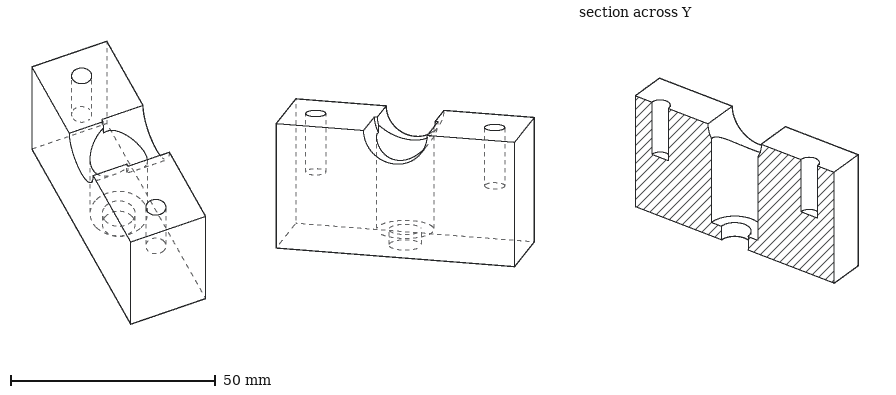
import cadquery as cq

LENGTH = 60.0
WIDTH = 20.0
HEIGHT = 32.0

FRONT_GROOVE_DIAMETER = 14.5
REAR_GROOVE_DIAMETER = 16
FRONT_GROOVE_LENGTH = 9.0

BORE_DIAMETER = 8.0
COUNTERBORE_DIAMETER = 14.0
COUNTERBORE_DEPTH = 28

SIDE_HOLE_DIAMETER = 4.92
SIDE_HOLE_DEPTH = 15.0
SIDE_HOLE_SPACING = 45.0


def groove(diameter, y_start, length):
    """Cylinder along +Y whose axis lies on the top face."""
    return cq.Workplane(
        cq.Solid.makeCylinder(
            diameter / 2, length, cq.Vector(0, y_start, HEIGHT), cq.Vector(0, 1, 0)
        )
    )


def hole_from_top(diameter, depth, x_position):
    """Vertical cylinder reaching down from the top face."""
    return cq.Workplane(
        cq.Solid.makeCylinder(diameter / 2, depth, cq.Vector(x_position, 0, HEIGHT - depth))
    )


result = cq.Workplane("XY").box(LENGTH, WIDTH, HEIGHT, centered=(True, True, False))

front_face_y = -WIDTH / 2
step_y = front_face_y + FRONT_GROOVE_LENGTH
result = result.cut(groove(FRONT_GROOVE_DIAMETER, front_face_y, FRONT_GROOVE_LENGTH))
result = result.cut(groove(REAR_GROOVE_DIAMETER, step_y, WIDTH - FRONT_GROOVE_LENGTH))

result = result.cut(hole_from_top(BORE_DIAMETER, HEIGHT, 0))
result = result.cut(hole_from_top(COUNTERBORE_DIAMETER, COUNTERBORE_DEPTH, 0))

for side in (-1, 1):
    side_hole_x = side * SIDE_HOLE_SPACING / 2
    result = result.cut(hole_from_top(SIDE_HOLE_DIAMETER, SIDE_HOLE_DEPTH, side_hole_x))